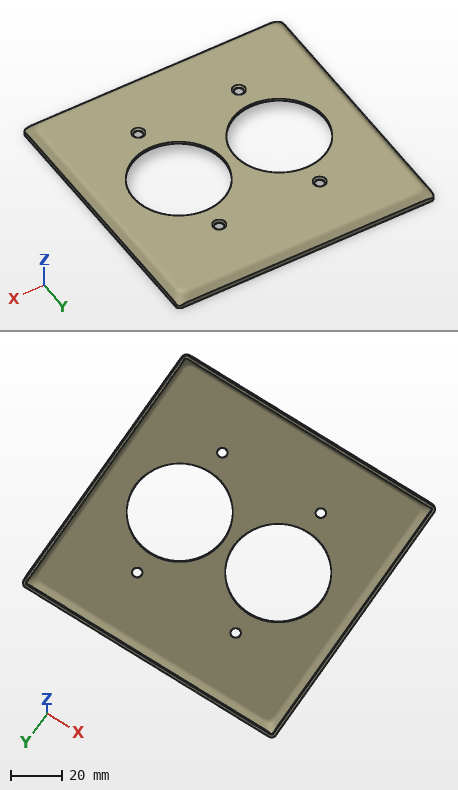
import cadquery as cq
import math

length_x = 117.5
width_y = 115.8
height = 5.0
wall = 1.2

rim_height = 2.1
upright_corner_radius = 1.9
sloped_corner_radius = 6.3
top_edge_radius = 3.2

outlet_diameter = 41.2
outlet_spacing = 45.9
screw_diameter = 4.0
countersink_diameter = 5.5
countersink_angle = 90.0
screw_spacing = 60.1


def sloped_corner_edges(body):
    """The straight edges where two neighbouring 45 degree slopes meet."""
    corner_rise = 1 / math.sqrt(3)
    return [
        edge
        for edge in body.edges().vals()
        if math.isclose(abs(edge.tangentAt(0).z), corner_rise, abs_tol=0.01)
    ]


def rounded_cap(inset):
    """Solid cap whose faces all lie inside the outer skin by the inset; its base stays at Z = 0."""
    top = height - inset
    slope_start = rim_height - inset * (math.sqrt(2) - 1)
    body = cq.Workplane("XY").box(
        length_x - 2 * inset, width_y - 2 * inset, top, centered=(True, True, False)
    )
    body = body.faces(">Z").chamfer(top - slope_start)
    body = body.newObject(sloped_corner_edges(body)).fillet(sloped_corner_radius - inset)
    body = body.edges("|Z").fillet(upright_corner_radius - inset)
    return body.faces(">Z").edges().fillet(top_edge_radius - inset)


cover = rounded_cap(0).cut(rounded_cap(wall))

cover = (
    cover.faces(">Z")
    .workplane(origin=(0, 0, height))
    .rarray(outlet_spacing, 1.2, 2, 1)
    .hole(outlet_diameter)
)

result = (
    cover.faces(">Z")
    .workplane(origin=(0, 0, height))
    .rarray(outlet_spacing, screw_spacing, 2, 2)
    .cskHole(screw_diameter, countersink_diameter, countersink_angle)
)